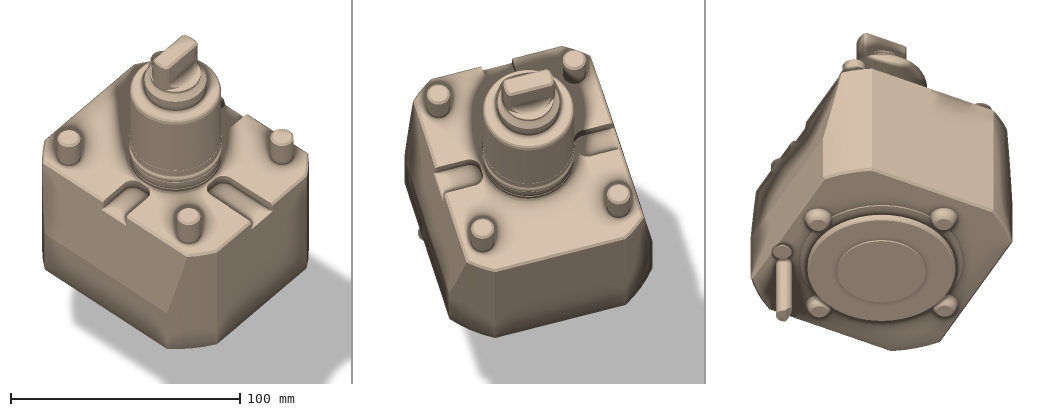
import cadquery as cq
import math


body_length = 100.0
body_width = 92.2
body_height = 61.5
body_corner_radius = 58.1
body_edge_chamfer = 1.0
top_width = 80.2
slope_height = 37.4

slot_width = 13.3
slot_depth = 4.9
slot_start = 21.3
slot_end_radius = 5.0
slot_mouth_chamfer = 0.5
wide_slot_start = 36.0
wide_slot_width = 13.5
wide_slot_mouth_width = 14.0

pin_diameter = 10.0
pin_height = 13.3
pin_chamfer = 1.0
pin_x = 34.8
pin_y = 30.9

collar_recess_diameter = 43.8
collar_recess_floor_diameter = 41.5
collar_recess_depth = 0.3
neck_diameter = 39.8
neck_height = 5.2
neck_groove_diameter = 39.0
neck_groove_bottom = 1.0
neck_groove_top = 1.6
neck_band_diameter = 39.5
neck_band_top = 3.0
ring_diameter = 40.6
ring_height = 3.5
ring_round = 1.5
sleeve_groove_diameter = 35.2
sleeve_bottom = 9.7
sleeve_skirt_diameter = 40.0
sleeve_skirt_top = 13.2
sleeve_diameter = 39.8
sleeve_top = 45.0
sleeve_taper_start = 43.0
sleeve_taper_diameter = 39.0
sleeve_edge_chamfer = 0.6

shaft_diameter = 27.0
shaft_cone_bottom = 50.8
key_diameter = 22.0
shaft_cone_top = shaft_cone_bottom + (shaft_diameter - key_diameter) / 2
key_base = 54.7
key_top = 69.2
key_thickness = 8.6
key_web_radius = 3.2
key_web_outer_width = 9.1
key_edge_chamfer = 0.8
key_top_chamfer = 1.0

seat_diameter = 70.8
seat_height = 0.6
upper_flange_diameter = 60.0
upper_flange_height = 2.5
lower_flange_diameter = 64.5
lower_flange_height = 3.4
lower_flange_chamfer = 0.5
flange_boss_diameter = 38.7
flange_boss_height = 0.6

screw_circle_radius = 38.7
screw_start_angle = 18.0
screw_count = 4
screw_head_diameter = 12.0
screw_rim_height = 0.3
screw_dome_diameter = 10.5
screw_dome_start = 1.8
screw_dome_bulge = 0.3
screw_tip_diameter = 7.0
screw_head_height = 4.4

cable_diameter = 7.0
cable_x = 20.3
cable_y = 37.4
cable_end = key_top - 162.4
cable_cut_offset = 0.6
cable_cut_angle = 53.0
cable_cut_direction = -119.0

stud_x = 10.9
stud_y = 42.9
stud_top_diameter = 2.5
stud_rim_diameter = 8.1
stud_height = 3.7
stud_rim_thickness = 0.3


def cylinder(diameter, bottom, top):
    return cq.Workplane("XY").workplane(offset=bottom).circle(diameter / 2).extrude(top - bottom)


def make_housing():
    profile = [
        (-body_width / 2, -body_height),
        (body_width / 2, -body_height),
        (body_width / 2, -slope_height),
        (top_width / 2, 0),
        (-top_width / 2, 0),
        (-body_width / 2, -slope_height),
    ]
    block = cq.Workplane("YZ").polyline(profile).close().extrude(body_length / 2, both=True)
    block = block.intersect(cylinder(2 * body_corner_radius, -body_height, 0))
    return block.faces("<Z or >Z").edges().chamfer(body_edge_chamfer)


def make_slot(outer_end):
    length = outer_end - slot_start
    slot = cq.Workplane("XY").box(length, slot_width, slot_depth, centered=(False, True, False))
    slot = slot.edges("|Z and <X").fillet(slot_end_radius)
    return slot.translate((slot_start, 0, -slot_depth))


def make_slot_widening():
    outline = [
        (wide_slot_start, -wide_slot_width / 2),
        (body_length / 2, -wide_slot_mouth_width / 2),
        (body_length / 2, wide_slot_mouth_width / 2),
        (wide_slot_start, wide_slot_width / 2),
    ]
    return cq.Workplane("XY").polyline(outline).close().extrude(-slot_depth)


def cut_slots(body):
    for angle in (90, -90):
        body = body.cut(make_slot(body_width / 2).rotate((0, 0, 0), (0, 0, 1), angle))
    mouth_half_width = slot_width / 2 + slot_mouth_chamfer
    for side in (-1, 1):
        mouth = cq.selectors.BoxSelector(
            (-mouth_half_width, side * top_width / 2, -slot_depth - slot_mouth_chamfer),
            (mouth_half_width, side * body_width / 2, 0),
        )
        body = body.edges(mouth).chamfer(slot_mouth_chamfer)
    return body.cut(make_slot(body_length / 2)).cut(make_slot_widening())


def make_collar_recess():
    half_profile = [
        (0, 0),
        (collar_recess_diameter / 2, 0),
        (collar_recess_floor_diameter / 2, -collar_recess_depth),
        (0, -collar_recess_depth),
    ]
    return cq.Workplane("XZ").polyline(half_profile).close().revolve(360, (0, 0), (0, 1))


def make_pins():
    pin = cylinder(pin_diameter, 0, pin_height).faces(">Z").chamfer(pin_chamfer)
    pins = cq.Workplane("XY")
    for x in (-pin_x, pin_x):
        for y in (-pin_y, pin_y):
            pins = pins.add(pin.translate((x, y, 0)))
    return pins.combine()


def make_groove(outer_diameter, inner_diameter, bottom, top):
    return cylinder(outer_diameter, bottom, top).cut(cylinder(inner_diameter, bottom, top))


def make_neck():
    neck = cylinder(neck_diameter, -collar_recess_depth, neck_height)
    neck = neck.cut(make_groove(ring_diameter, neck_groove_diameter, neck_groove_bottom, neck_groove_top))
    neck = neck.cut(make_groove(ring_diameter, neck_band_diameter, neck_groove_top, neck_band_top))
    ring = cylinder(ring_diameter, neck_height, neck_height + ring_height).edges().fillet(ring_round)
    return neck.union(ring)


def make_sleeve():
    core = cylinder(sleeve_groove_diameter, 0, sleeve_bottom)
    skirt = cylinder(sleeve_skirt_diameter, sleeve_bottom, sleeve_skirt_top)
    half_profile = [
        (0, sleeve_skirt_top),
        (sleeve_diameter / 2, sleeve_skirt_top),
        (sleeve_diameter / 2, sleeve_taper_start),
        (sleeve_taper_diameter / 2, sleeve_top - sleeve_edge_chamfer),
        (sleeve_taper_diameter / 2 - sleeve_edge_chamfer, sleeve_top),
        (0, sleeve_top),
    ]
    tube = cq.Workplane("XZ").polyline(half_profile).close().revolve(360, (0, 0), (0, 1))
    return core.union(skirt).union(tube)


def make_shaft():
    lower = cylinder(shaft_diameter, sleeve_top, shaft_cone_top)
    lower = lower.faces(">Z").chamfer(shaft_cone_top - shaft_cone_bottom)
    return lower.union(cylinder(key_diameter, shaft_cone_top, key_base))


def make_key():
    height = key_top - key_base
    blade = cq.Workplane("XY").box(key_thickness, key_diameter, height, centered=(True, True, False))
    blade = blade.translate((0, 0, key_base)).intersect(cylinder(key_diameter, key_base, key_top))
    return blade.edges("|Z").chamfer(key_edge_chamfer).faces(">Z").chamfer(key_top_chamfer)


def make_key_web():
    inner_x = key_thickness / 2
    outer_x = inner_x + key_web_radius
    inner_y = math.sqrt((key_diameter / 2) ** 2 - inner_x**2) - key_edge_chamfer
    outer_y = key_web_outer_width / 2
    outline = [
        (0, -inner_y),
        (inner_x, -inner_y),
        (outer_x, -outer_y),
        (outer_x, outer_y),
        (inner_x, inner_y),
        (0, inner_y),
    ]
    web = cq.Workplane("XY").workplane(offset=key_base).polyline(outline).close().extrude(key_web_radius)
    hollow = (
        cq.Workplane("XZ")
        .center(outer_x, key_base + key_web_radius)
        .circle(key_web_radius)
        .extrude(key_diameter, both=True)
    )
    return web.cut(hollow)


def make_flanges():
    upper_bottom = -body_height - upper_flange_height
    lower_bottom = upper_bottom - lower_flange_height
    upper = cylinder(upper_flange_diameter, upper_bottom, -body_height)
    lower = cylinder(lower_flange_diameter, lower_bottom, upper_bottom).edges().chamfer(lower_flange_chamfer)
    boss = cylinder(flange_boss_diameter, lower_bottom - flange_boss_height, lower_bottom)
    seat = cylinder(seat_diameter, -body_height - seat_height, -body_height)
    return seat.union(upper).union(lower).union(boss)


def make_screws():
    half_profile = (
        cq.Workplane("XZ")
        .moveTo(0, 0)
        .lineTo(screw_head_diameter / 2, 0)
        .lineTo(screw_head_diameter / 2, -screw_rim_height)
        .lineTo(screw_dome_diameter / 2, -screw_dome_start)
        .sagittaArc((screw_tip_diameter / 2, -screw_head_height), screw_dome_bulge)
        .lineTo(0, -screw_head_height)
        .close()
    )
    head = half_profile.revolve(360, (0, 0), (0, 1)).translate((screw_circle_radius, 0, -body_height))
    screws = cq.Workplane("XY")
    for index in range(screw_count):
        angle = screw_start_angle + index * 360 / screw_count
        screws = screws.add(head.rotate((0, 0, 0), (0, 0, 1), angle))
    return screws.combine()


def make_cable():
    cable = cylinder(cable_diameter, cable_end, -body_height)
    cut_length = cable_diameter
    cut_height = (cut_length - cable_cut_offset) * math.tan(math.radians(cable_cut_angle))
    wedge = (
        cq.Workplane("XZ")
        .polyline([(cable_cut_offset, 0), (cut_length, 0), (cut_length, cut_height)])
        .close()
        .extrude(cable_diameter, both=True)
        .rotate((0, 0, 0), (0, 0, 1), cable_cut_direction)
    )
    return cable.cut(wedge.translate((0, 0, cable_end))).translate((cable_x, cable_y, 0))


def make_stud():
    half_profile = [
        (0, 0),
        (stud_top_diameter / 2, 0),
        (stud_rim_diameter / 2, stud_rim_thickness - stud_height),
        (stud_rim_diameter / 2, -stud_height),
        (0, -stud_height),
    ]
    stud = cq.Workplane("XZ").polyline(half_profile).close().revolve(360, (0, 0), (0, 1))
    return stud.translate((stud_x, stud_y, -body_height))


housing = cut_slots(make_housing())
housing = housing.cut(make_collar_recess())
key_web = make_key_web()

result = (
    housing.union(make_pins())
    .union(make_neck())
    .union(make_sleeve())
    .union(make_shaft())
    .union(make_key())
    .union(key_web)
    .union(key_web.mirror("YZ"))
    .union(make_flanges())
    .union(make_screws())
    .union(make_cable())
    .union(make_stud())
)